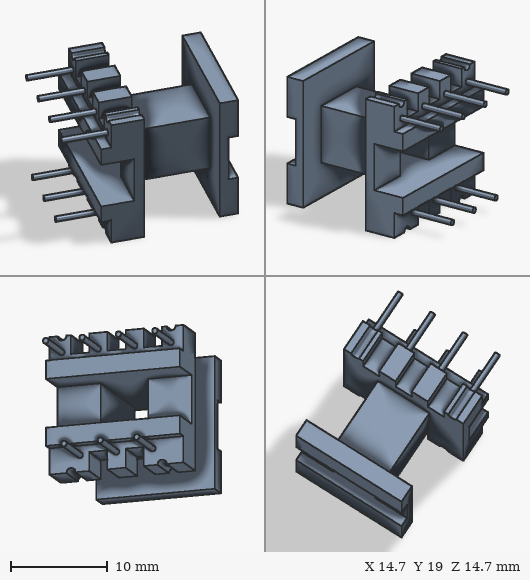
import cadquery as cq

total_length = 19.0
pin_length = 5.0
flange_depth = 3.6
rail_overhang = 1.1
plate_thickness = 2.0
pin_face = pin_length
rail_face = pin_face - rail_overhang
flange_back = pin_face + flange_depth
plate_front = total_length - plate_thickness

flange_size = 14.7
plate_width = 13.0
plate_height = 14.2
core_size = 6.35
window_size = 5.2
rail_outer_z = 4.56
front_channel_wall = 1.1
plate_channel_depth = 1.05

pitch = 2.0
pin_radius = 0.3
pin_z = 5.59
wire_slot_width = 2.0
wire_slot_floor_z = 5.32
groove_radius = 0.5
top_groove_x = 3 * pitch
bottom_groove_x = 2.5 * pitch
pin_embed = 0.95


def block(width, y_start, y_end, z_bottom, z_top, x_center=0):
    """Box centred on x_center, spanning the given Y and Z ranges."""
    return cq.Workplane("XY").box(
        width, y_end - y_start, z_top - z_bottom, centered=(True, False, False)
    ).translate((x_center, y_start, z_bottom))


def centred_block(width, height, y_start, y_end):
    """Box centred on the Y axis in both X and Z."""
    return block(width, y_start, y_end, -height / 2, height / 2)


def rod(radius, x, z, y_start, y_end):
    """Cylinder parallel to Y."""
    axis = cq.Vector(0, 1, 0)
    return cq.Workplane(cq.Solid.makeCylinder(radius, y_end - y_start, cq.Vector(x, y_start, z), axis))


def cut_terminal_row(part, side, slot_positions, groove_x):
    """Cut wire slots and two round grooves along the upper (1) or lower (-1) edge."""
    edge_z = side * flange_size / 2
    slot_z = sorted((side * wire_slot_floor_z, edge_z))
    for x in slot_positions:
        part = part.cut(block(wire_slot_width, rail_face, flange_back, *slot_z, x_center=x))
    for x in (-groove_x, groove_x):
        part = part.cut(rod(groove_radius, x, edge_z, pin_face, flange_back))
    return part


def add_pins(part, side, positions):
    for x in positions:
        part = part.union(rod(pin_radius, x, side * pin_z, 0, pin_face + pin_embed))
    return part


flange = centred_block(flange_size, flange_size, pin_face, flange_back)
flange = flange.union(centred_block(flange_size, 2 * rail_outer_z, rail_face, pin_face))
flange = cut_terminal_row(flange, 1, (-2 * pitch, 0, 2 * pitch), top_groove_x)
flange = cut_terminal_row(flange, -1, (-pitch, pitch), bottom_groove_x)

core = centred_block(core_size, core_size, flange_back, plate_front)
plate = centred_block(plate_width, plate_height, plate_front, total_length)
body = flange.union(core).union(plate)

channel_floor = flange_back - front_channel_wall
body = body.cut(centred_block(flange_size, window_size, rail_face, channel_floor))
body = body.cut(centred_block(flange_size, window_size, total_length - plate_channel_depth, total_length))
body = body.cut(centred_block(window_size, window_size, rail_face, total_length))

body = add_pins(body, 1, (-3 * pitch, -pitch, pitch, 3 * pitch))
body = add_pins(body, -1, (-2 * pitch, 0, 2 * pitch))

result = body